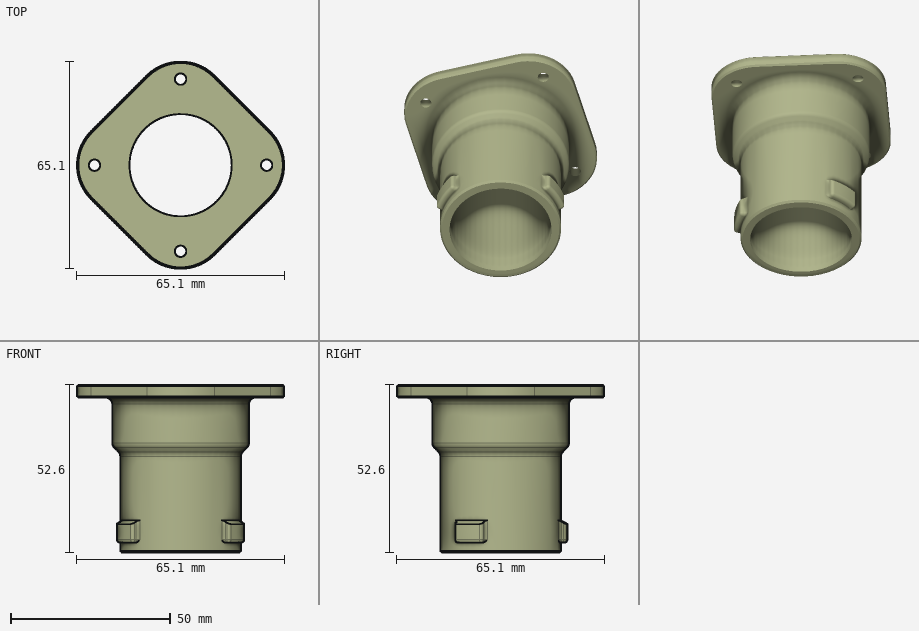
import cadquery as cq
import math

TOTAL_HEIGHT = 52.6
FLANGE_THICKNESS = 4.0
FLANGE_BOTTOM = TOTAL_HEIGHT - FLANGE_THICKNESS

FLANGE_SIDE = 54.8
FLANGE_CORNER_RADIUS = 15.0
FLANGE_EDGE_CHAMFER = 0.5
FLANGE_TURN = 45.0
HOLE_CIRCLE_RADIUS = 27.0
HOLE_DIAMETER = 3.5
HOLE_COUNT = 4

BORE_RADIUS = 16.0
TUBE_RADIUS = 19.0
COLLAR_RADIUS = 21.5
COLLAR_HEIGHT = 15.0
SHOULDER_ANGLE = 45.0
COLLAR_BOTTOM = FLANGE_BOTTOM - COLLAR_HEIGHT
SHOULDER_DROP = (COLLAR_RADIUS - TUBE_RADIUS) / math.tan(math.radians(SHOULDER_ANGLE))
SHOULDER_BOTTOM = COLLAR_BOTTOM - SHOULDER_DROP
BODY_FILLET = 2.0
TUBE_END_CHAMFER = 0.6

LUG_COUNT = 3
FIRST_LUG_ANGLE = 90.0
LUG_WIDTH = 10.0
LUG_RADIUS = 21.0
LUG_BOTTOM = 3.1
LUG_HEIGHT = 7.0
LUG_TOP = LUG_BOTTOM + LUG_HEIGHT
LUG_FILLET = 1.0
LUG_TOP_SLOPE = 30.0

TOLERANCE = 0.001


def make_flange():
    """Rounded square plate with chamfered rims, turned so its corners lie on X and Y."""
    plate = (
        cq.Workplane("XY")
        .rect(FLANGE_SIDE, FLANGE_SIDE)
        .extrude(FLANGE_THICKNESS)
        .edges("|Z")
        .fillet(FLANGE_CORNER_RADIUS)
        .faces("<Z or >Z")
        .edges()
        .chamfer(FLANGE_EDGE_CHAMFER)
    )
    return plate.rotate((0, 0, 0), (0, 0, 1), FLANGE_TURN).translate((0, 0, FLANGE_BOTTOM))


def make_body():
    """Solid of revolution for the collar, shoulder and tube, before boring."""
    setback = BODY_FILLET * math.tan(math.radians(SHOULDER_ANGLE / 2))
    slant_x = setback * math.sin(math.radians(SHOULDER_ANGLE))
    slant_z = setback * math.cos(math.radians(SHOULDER_ANGLE))
    flare_radius = COLLAR_RADIUS + BODY_FILLET
    return (
        cq.Workplane("XZ")
        .moveTo(0, 0)
        .lineTo(TUBE_RADIUS - TUBE_END_CHAMFER, 0)
        .lineTo(TUBE_RADIUS, TUBE_END_CHAMFER)
        .lineTo(TUBE_RADIUS, SHOULDER_BOTTOM - setback)
        .tangentArcPoint((TUBE_RADIUS + slant_x, SHOULDER_BOTTOM + slant_z), relative=False)
        .lineTo(COLLAR_RADIUS - slant_x, COLLAR_BOTTOM - slant_z)
        .tangentArcPoint((COLLAR_RADIUS, COLLAR_BOTTOM + setback), relative=False)
        .lineTo(COLLAR_RADIUS, FLANGE_BOTTOM - BODY_FILLET)
        .tangentArcPoint((flare_radius, FLANGE_BOTTOM), relative=False)
        .lineTo(0, FLANGE_BOTTOM)
        .close()
        .revolve(360, (0, 0, 0), (0, 1, 0))
    )


def on_tube(point):
    """True when a point lies on the outer wall of the tube."""
    return math.isclose(math.hypot(point.x, point.y), TUBE_RADIUS, abs_tol=TOLERANCE)


def add_lug(body):
    """Join one lug to the +X side of the tube, with flared roots and a rounded lower rim."""
    block = (
        cq.Workplane("XY")
        .box(LUG_RADIUS, LUG_WIDTH, LUG_HEIGHT, centered=(False, True, False))
        .intersect(cq.Workplane("XY").circle(LUG_RADIUS).extrude(LUG_HEIGHT))
        .edges("|Z")
        .filter(lambda edge: edge.Center().x > TUBE_RADIUS)
        .fillet(LUG_FILLET)
        .translate((0, 0, LUG_BOTTOM))
    )
    mid_height = LUG_BOTTOM + LUG_HEIGHT / 2
    body = (
        body.union(block)
        .edges("|Z")
        .filter(lambda edge: math.isclose(edge.Center().z, mid_height, abs_tol=TOLERANCE))
        .filter(lambda edge: edge.Center().x > 0 and on_tube(edge.Center()))
        .fillet(LUG_FILLET)
    )
    return (
        body.faces("|Z")
        .filter(lambda face: math.isclose(face.Center().z, LUG_BOTTOM, abs_tol=TOLERANCE))
        .filter(lambda face: face.Center().x > TUBE_RADIUS)
        .edges()
        .filter(lambda edge: not on_tube(edge.positionAt(0.5)))
        .fillet(LUG_FILLET)
    )


def make_top_cutter():
    """Ring around the tube whose conical underside slopes the lug tops."""
    cutter_radius = LUG_RADIUS + LUG_FILLET
    drop = (cutter_radius - TUBE_RADIUS) * math.tan(math.radians(LUG_TOP_SLOPE))
    return (
        cq.Workplane("XZ")
        .moveTo(TUBE_RADIUS, LUG_TOP)
        .lineTo(cutter_radius, LUG_TOP - drop)
        .lineTo(cutter_radius, LUG_TOP)
        .close()
        .revolve(360, (0, 0, 0), (0, 1, 0))
    )


def add_lugs(body):
    """Add evenly spaced lugs by turning the body between them, then slope their tops."""
    for _ in range(LUG_COUNT):
        body = add_lug(body).rotate((0, 0, 0), (0, 0, 1), 360 / LUG_COUNT)
    return body.cut(make_top_cutter()).rotate((0, 0, 0), (0, 0, 1), FIRST_LUG_ANGLE)


def cut_openings(part):
    """Bore through the whole part, and the mounting holes through the flange corners."""
    bore = cq.Workplane("XY").circle(BORE_RADIUS).extrude(TOTAL_HEIGHT)
    holes = (
        cq.Workplane("XY")
        .workplane(offset=FLANGE_BOTTOM)
        .polarArray(HOLE_CIRCLE_RADIUS, 0, 360, HOLE_COUNT)
        .circle(HOLE_DIAMETER / 2)
        .extrude(FLANGE_THICKNESS)
    )
    return part.cut(bore).cut(holes)


result = cut_openings(add_lugs(make_body()).union(make_flange()))